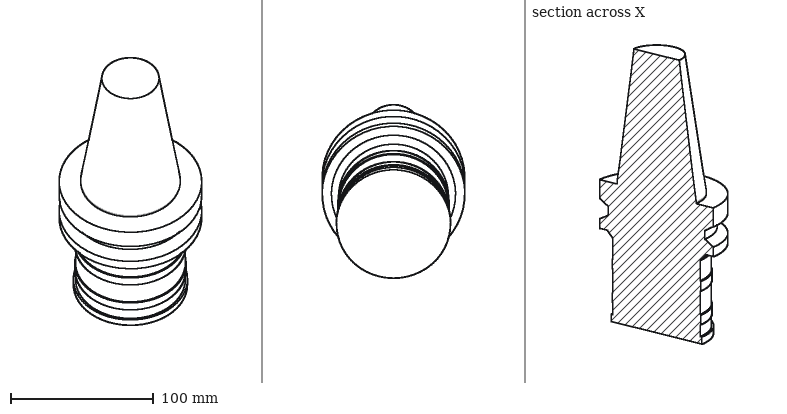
import cadquery as cq
import math


gauge_height = 105.0
gauge_diameter = 69.85
seat_height = 1.5
taper_length = 101.8
taper_ratio = 7 / 24
total_height = gauge_height + taper_length
taper_tip_diameter = gauge_diameter - taper_ratio * taper_length

flange_diameter = 100.0
flange_top = gauge_height - seat_height
flange_thickness = 36.5
flange_bottom = flange_top - flange_thickness
groove_diameter = 85.0
gauge_to_groove = 23.2
groove_center = gauge_height - gauge_to_groove
groove_floor_width = 6.25
groove_wall_angle = 30.0

body_diameter = 77.0
collar_height = 5.0
base_diameter = 80.0
base_height = 5.5

band_diameter = 78.0
band_width = 8.0
band_centers = (18.0, 43.0)


def cone(bottom_diameter, top_diameter, bottom, top):
    """Truncated cone about Z between two heights."""
    solid = cq.Solid.makeCone(
        bottom_diameter / 2,
        top_diameter / 2,
        top - bottom,
        pnt=cq.Vector(0, 0, bottom),
    )
    return cq.Workplane(solid)


def cylinder(diameter, bottom, top):
    """Cylinder about Z between two heights."""
    base = cq.Workplane("XY", origin=(0, 0, bottom))
    return base.circle(diameter / 2).extrude(top - bottom)


def make_shank():
    """Taper with the short gauge-diameter cylinder between it and the flange."""
    seat = cylinder(gauge_diameter, flange_top, gauge_height)
    taper = cone(gauge_diameter, taper_tip_diameter, gauge_height, total_height)
    return seat.union(taper)


def make_flange():
    """Flange disc with the gripper groove turned into its rim."""
    flange_radius = flange_diameter / 2
    groove_radius = groove_diameter / 2
    wall_rise = (flange_radius - groove_radius) * math.tan(math.radians(groove_wall_angle))
    half_floor = groove_floor_width / 2
    half_mouth = half_floor + wall_rise
    return (
        cq.Workplane("XZ")
        .moveTo(0, flange_bottom)
        .lineTo(flange_radius, flange_bottom)
        .lineTo(flange_radius, groove_center - half_mouth)
        .lineTo(groove_radius, groove_center - half_floor)
        .lineTo(groove_radius, groove_center + half_floor)
        .lineTo(flange_radius, groove_center + half_mouth)
        .lineTo(flange_radius, flange_top)
        .lineTo(0, flange_top)
        .close()
        .revolve(360, (0, 0, 0), (0, 1, 0))
    )


def make_band(center):
    """Raised band on the body with 45 degree edges as high as the band stands proud."""
    edge = (band_diameter - body_diameter) / 2
    bottom = center - band_width / 2
    band = cylinder(band_diameter, bottom, bottom + band_width)
    return band.faces("<Z or >Z").chamfer(edge)


def make_body():
    """Cylindrical body with its base rim, raised bands and collar under the flange."""
    collar_diameter = body_diameter + 2 * collar_height
    body = cylinder(body_diameter, 0, flange_bottom)
    body = body.union(cylinder(base_diameter, 0, base_height))
    collar_bottom = flange_bottom - collar_height
    body = body.union(cone(body_diameter, collar_diameter, collar_bottom, flange_bottom))
    for center in band_centers:
        body = body.union(make_band(center))
    return body


result = make_body().union(make_flange()).union(make_shank())